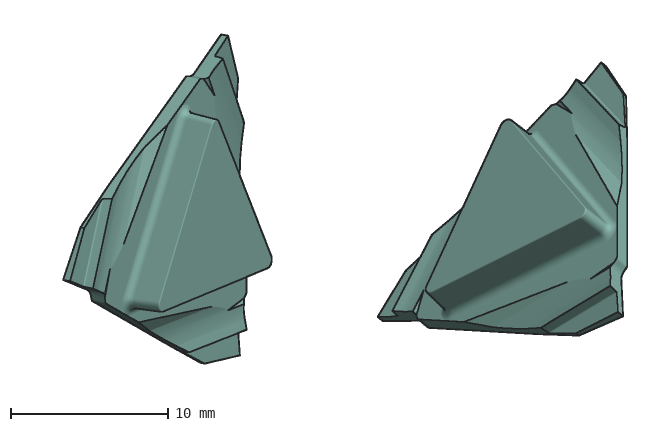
import cadquery as cq
import math

CORNERS = 3
CORNER_STEP = 360 / CORNERS

plate_thickness = 1.08
edge_distance = 7.10
tip_radius = 12.455
tip_angle = math.radians(63.6)
heel_z = 7.90
notch_start = (2.77, 9.24)
notch_middle = (2.48, 9.145)
notch_end = (2.19, 9.16)
run_out_end = (1.95, 9.222)
lip_middle = (1.86, 9.236)
long_edge_start_z = -6.14

relief_angle = 3.0
relief_z = 4.07
relief_end = (2.87, 9.31)
relief_reach = 10.0
relief_depth = 2.0

step_origin = (4.03, 10.08)
step_angle = math.radians(121.4)
step_slope = 0.075
inner_length = 12.0
outer_length = 3.0
clear_height = 4.0
crest = (0, 1.33)
step_foot = (-0.09, 0.655)
step_fillet = 0.10
land_length = 4.0
land_slope = 0.024
rake_end = (0.70, 1.22)
valley_bottom = (1.45, 1.185)
valley_end = (2.46, 1.345)
valley_exit_slope = 0.53
valley_exit_length = 3.0
shoulder_start = 1.40
shoulder_end = (2.20, 1.00)

boss_top = 3.50
boss_side_distance = 4.035
boss_corner_radius = 0.50
boss_draft = 1.7
boss_fillet = 0.50
boss_edge_fillet = 0.08


def turn(point, index):
    """Turn a (Y, Z) point about the X axis to corner number index."""
    angle = math.radians(CORNER_STEP * index)
    y, z = point
    return (
        y * math.cos(angle) - z * math.sin(angle),
        y * math.sin(angle) + z * math.cos(angle),
    )


def corner_copies(shape):
    """One copy of a corner feature for each corner."""
    return [shape.rotate((0, 0, 0), (1, 0, 0), CORNER_STEP * index) for index in range(CORNERS)]


def make_blank(thickness):
    """Plate outline with its tips, heels and notches."""
    edge_start = (edge_distance, long_edge_start_z)
    heel = (edge_distance, heel_z)
    tip = (tip_radius * math.cos(tip_angle), tip_radius * math.sin(tip_angle))
    outline = cq.Workplane("YZ").moveTo(*edge_start)
    for index in range(CORNERS):
        outline = outline.lineTo(*turn(heel, index))
        outline = outline.lineTo(*turn(tip, index))
        outline = outline.lineTo(*turn(notch_start, index))
        outline = outline.threePointArc(turn(notch_middle, index), turn(notch_end, index))
        outline = outline.lineTo(*turn(run_out_end, index))
        outline = outline.threePointArc(turn(lip_middle, index), turn(edge_start, index + 1))
    return outline.close().extrude(thickness)


def profile_plane(distance):
    """Plane across the step, a distance along it; local x runs inward and y upward."""
    along_y = math.cos(step_angle)
    along_z = math.sin(step_angle)
    start_y, start_z = step_origin
    return cq.Workplane(cq.Plane(
        origin=(step_slope * distance, start_y + along_y * distance, start_z + along_z * distance),
        xDir=(0, -along_z, along_y),
        normal=(step_slope, along_y, along_z),
    ))


def make_crest():
    """Raised material behind the step, before the chip breaker shapes it."""
    foot_x, foot_height = step_foot
    return (
        profile_plane(-inner_length)
        .moveTo(foot_x - land_length, foot_height)
        .lineTo(foot_x - land_length, crest[1])
        .lineTo(shoulder_start, crest[1])
        .lineTo(*shoulder_end)
        .lineTo(shoulder_end[0], foot_height)
        .close()
        .extrude(inner_length + outer_length)
    )


def make_breaker_cut():
    """Everything above the land, step, rake face and valley of one corner."""
    foot_x, foot_height = step_foot
    land_end = (foot_x - land_length, foot_height + land_slope * land_length)
    exit_x = valley_end[0] + valley_exit_length
    exit_height = valley_end[1] + valley_exit_slope * valley_exit_length
    cut = (
        profile_plane(-inner_length)
        .moveTo(*land_end)
        .lineTo(*step_foot)
        .lineTo(*crest)
        .lineTo(*rake_end)
        .threePointArc(valley_bottom, valley_end)
        .lineTo(exit_x, exit_height)
        .lineTo(exit_x, clear_height)
        .lineTo(land_end[0], clear_height)
        .close()
        .extrude(inner_length + outer_length)
    )
    middle_plane = profile_plane((outer_length - inner_length) / 2).plane
    foot_edge = cq.selectors.NearestToPointSelector(middle_plane.toWorldCoords(step_foot))
    return cut.edges(foot_edge).fillet(step_fillet)


def make_relief_cut():
    """Wedge removed from the back of one corner, deepening towards the tip."""
    end_y, end_z = relief_end
    line_y = end_y - edge_distance
    line_z = end_z - relief_z
    length = math.hypot(line_y, line_z)
    plane = cq.Plane(
        origin=(0, edge_distance, relief_z),
        xDir=(0, line_z / length, -line_y / length),
        normal=(0, -line_y / length, -line_z / length),
    )
    drop = relief_reach * math.tan(math.radians(relief_angle))
    return (
        cq.Workplane(plane)
        .polyline([(0, 0), (relief_reach, drop), (relief_reach, -relief_depth), (0, -relief_depth)])
        .close()
        .extrude(relief_reach, both=True)
    )


def make_boss():
    """Drafted triangle with rounded corners, one corner pointing along +Z."""
    corner = (0, 2 * boss_side_distance)
    boss = (
        cq.Workplane("YZ")
        .polyline([turn(corner, index) for index in range(CORNERS)])
        .close()
        .extrude(boss_top, taper=boss_draft)
    )
    boss = boss.edges("not #X").fillet(boss_corner_radius)
    return boss.faces(">X").edges().fillet(boss_edge_fillet)


def add_boss(plate):
    """Join the boss to the plate and round the inside corner all around its foot."""
    side_inset = plate_thickness * math.tan(math.radians(boss_draft))
    side_foot = (plate_thickness, 0, side_inset - boss_side_distance)
    foot_edge = cq.selectors.NearestToPointSelector(side_foot)
    return plate.union(make_boss()).edges(foot_edge).fillet(boss_fillet)


def make_insert():
    """Plate with shaped corners, then the boss."""
    body = make_blank(plate_thickness)
    thick_blank = make_blank(clear_height)
    for crest_block in corner_copies(make_crest()):
        body = body.union(thick_blank.intersect(crest_block))
    for cut in corner_copies(make_breaker_cut()) + corner_copies(make_relief_cut()):
        body = body.cut(cut)
    return add_boss(body)


result = make_insert().solids()